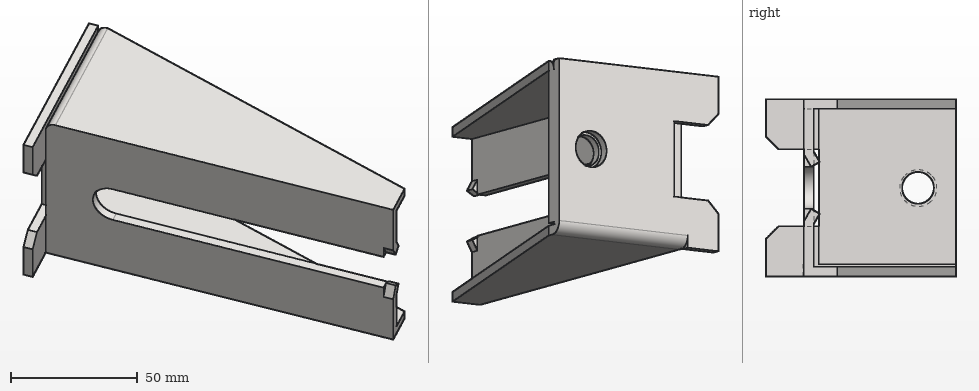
import cadquery as cq
import math

length = 150.0
depth = 75.0
height = 70.0
sheet = 3.9
mid_z = height / 2

lower_bend_radius = 5.0
bend_relief_y = 14.5
notch_height = 30.3
notch_end_y = 20.8
prong_chamfer = 5.0
hole_y = 60.0
plate_hole_diameter = 14.5
lip_hole_diameter = 12.5

web_y = 15.0
web_back_y = web_y + sheet
tip_y = 28.0
upper_bend_radius = 3.9
taper_start_x = sheet + upper_bend_radius

slot_width = 16.5
slot_start_x = 23.7
tab_length = 4.0
tab_height = 5.0
tab_angle = math.radians(30)


def box(x0, x1, y0, y1, z0, z1):
    """Box between two opposite corners."""
    return cq.Workplane("XY").box(x1 - x0, y1 - y0, z1 - z0, centered=False).translate((x0, y0, z0))


def hole_cutter(diameter, start_x):
    """Cylinder along X through one sheet thickness."""
    plane = cq.Workplane("YZ", origin=(start_x, hole_y, mid_z))
    return plane.circle(diameter / 2).extrude(sheet)


def mounting_plate():
    """Plate with a chamfered fork notch and a screw hole."""
    half_notch = notch_height / 2
    plate = box(0, sheet, 0, depth, 0, height)
    notch = (
        cq.Workplane("YZ")
        .moveTo(0, mid_z - half_notch - prong_chamfer)
        .lineTo(prong_chamfer, mid_z - half_notch)
        .lineTo(notch_end_y, mid_z - half_notch)
        .lineTo(notch_end_y, mid_z + half_notch)
        .lineTo(prong_chamfer, mid_z + half_notch)
        .lineTo(0, mid_z + half_notch + prong_chamfer)
        .close()
        .extrude(sheet)
    )
    return plate.cut(notch).cut(hole_cutter(plate_hole_diameter, 0))


def bend_corner(start_y, center_x, center_z, radius, side):
    """Waste outside a rounded bend along Y, at its upper left (side=1) or lower left (side=-1)."""
    z0, z1 = sorted((center_z, center_z + side * radius))
    corner = box(center_x - radius, center_x, start_y, depth, z0, z1)
    roll = cq.Workplane("XZ", origin=(center_x, start_y, center_z)).circle(radius)
    return corner.cut(roll.extrude(start_y - depth))


def flange(start_z):
    """Flat tapered flange."""
    outline = [
        (sheet, web_y),
        (length, web_y),
        (length, tip_y),
        (taper_start_x, depth),
        (sheet, depth),
    ]
    return cq.Workplane("XY", origin=(0, 0, start_z)).polyline(outline).close().extrude(sheet)


def channel():
    """Web, two flanges and the lip folded down behind the plate."""
    web = box(sheet, length, web_y, web_back_y, 0, height)
    lip = box(sheet, 2 * sheet, notch_end_y, depth, lower_bend_radius, height)
    lip = lip.cut(hole_cutter(lip_hole_diameter, sheet))
    body = web.union(flange(0)).union(flange(height - sheet)).union(lip)
    upper_corner = bend_corner(web_y, taper_start_x, height - upper_bend_radius, upper_bend_radius, 1)
    return body.cut(upper_corner)


def slot_cutter():
    """Slot with one round end, open at the tip."""
    radius = slot_width / 2
    center_x = slot_start_x + radius
    straight = box(center_x, length, web_y, web_back_y, mid_z - radius, mid_z + radius)
    round_end = (
        cq.Workplane("XZ", origin=(center_x, web_y, mid_z)).circle(radius).extrude(-sheet)
    )
    return straight.union(round_end)


def with_mouth_tab(body, side):
    """Replace the web corner above (side=1) or below (side=-1) the slot by a tab bent inward."""
    edge = slot_width / 2
    root = edge + tab_height
    z_edge, z_root = sorted((mid_z + side * edge, mid_z + side * root))
    corner = box(length - tab_length, length, web_y, web_back_y, z_edge, z_root)
    front_y = web_y + tab_height * math.tan(tab_angle)
    back_y = front_y + sheet * math.cos(tab_angle)
    back_edge = edge + sheet * math.sin(tab_angle)
    back_root = back_edge + (back_y - web_back_y) / math.tan(tab_angle)
    profile = [
        (web_y, mid_z + side * root),
        (front_y, mid_z + side * edge),
        (back_y, mid_z + side * back_edge),
        (web_back_y, mid_z + side * back_root),
    ]
    tab = (
        cq.Workplane("YZ", origin=(length - tab_length, 0, 0))
        .polyline(profile)
        .close()
        .extrude(tab_length)
    )
    return body.cut(corner).union(tab)


bracket_arm = channel().cut(slot_cutter())
for side in (1, -1):
    bracket_arm = with_mouth_tab(bracket_arm, side)

lower_corner = bend_corner(bend_relief_y, lower_bend_radius, lower_bend_radius, lower_bend_radius, -1)
result = mounting_plate().union(bracket_arm).cut(lower_corner)